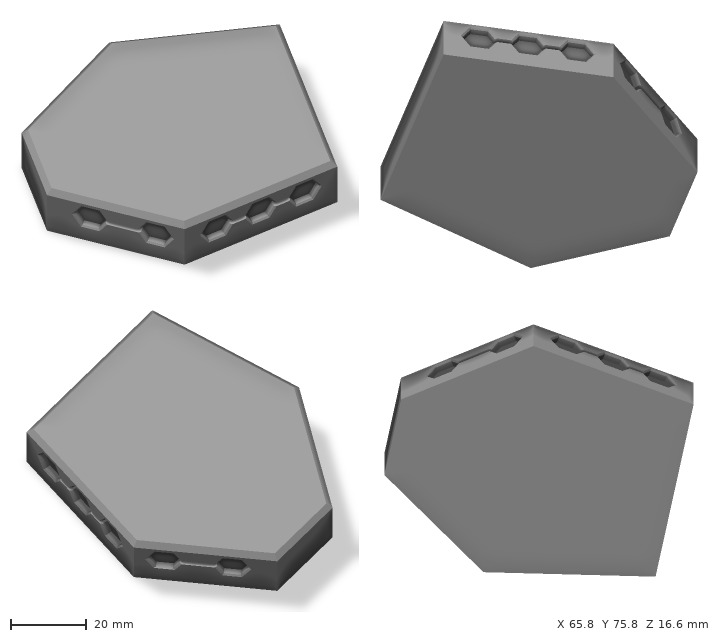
import cadquery as cq
import math

HEIGHT = 16.6
LENGTH = 75.84
MAX_WIDTH = 65.77
REAR_WIDTH = 50.1
FRONT_WIDTH = 22.0
WIDEST_TO_REAR = 44.7
TOP_BEVEL = 1.5

HEX_SIDES = 6
HEX_FLATS = 7.9
HEX_CHAMFER = 0.45
CHAMFER_ANGLE = 45
POCKET_DEPTH = 2.0
SLOT_HEIGHT = 1.6
POCKET_Z = 9.65
REAR_HEX_COUNT = 3
REAR_HEX_PITCH = 13.0
FRONT_HEX_COUNT = 2
FRONT_HEX_PITCH = 18.0
FRONT_PAIR_OFFSET = -1.95

REAR_CORNER = (-REAR_WIDTH / 2, LENGTH / 2)
WIDE_CORNER = (-MAX_WIDTH / 2, LENGTH / 2 - WIDEST_TO_REAR)
FRONT_CORNER = (-FRONT_WIDTH / 2, -LENGTH / 2)


def make_body():
    """Plate symmetric about X = 0, resting on Z = 0, with its top rim bevelled."""
    left = [REAR_CORNER, WIDE_CORNER, FRONT_CORNER]
    right = [(-x, y) for x, y in reversed(left)]
    plate = cq.Workplane("XY").polyline(left + right).close().extrude(HEIGHT)
    return plate.faces(">Z").chamfer(TOP_BEVEL)


def face_plane(start, end):
    """Plane on a -X side face: origin mid-face at pocket height, x from start to end, z outward."""
    run_x = end[0] - start[0]
    run_y = end[1] - start[1]
    origin = ((start[0] + end[0]) / 2, (start[1] + end[1]) / 2, POCKET_Z)
    return cq.Plane(origin=origin, xDir=(run_x, run_y, 0), normal=(run_y, -run_x, 0))


def hexagon(plane, center, flats):
    """Hexagon outline with points along the face and flats at top and bottom."""
    across_points = flats / math.cos(math.pi / HEX_SIDES)
    return cq.Workplane(plane).center(center, 0).polygon(HEX_SIDES, across_points)


def hex_pocket(plane, center, sharp_bottom):
    """Hexagonal pocket with a chamfered mouth; a sharp bottom leaves the lowest edge unchamfered."""
    mouth_flats = HEX_FLATS + 2 * HEX_CHAMFER
    straight = hexagon(plane, center, HEX_FLATS).extrude(-POCKET_DEPTH)
    flare = hexagon(plane, center, mouth_flats).extrude(-HEX_CHAMFER, taper=CHAMFER_ANGLE)
    if sharp_bottom:
        keep = cq.Workplane(plane).center(center, HEX_CHAMFER / 2)
        keep = keep.rect(2 * mouth_flats, HEX_FLATS + HEX_CHAMFER).extrude(-HEX_CHAMFER)
        flare = flare.intersect(keep)
    return straight.union(flare)


def pocket_row(plane, count, pitch, offset, sharp_first=False):
    """Evenly spaced hexagons and the slot that joins the first to the last."""
    span = (count - 1) * pitch
    row = cq.Workplane(plane).center(offset, 0).rect(span, SLOT_HEIGHT).extrude(-POCKET_DEPTH)
    for index in range(count):
        center = offset - span / 2 + index * pitch
        row = row.union(hex_pocket(plane, center, sharp_first and index == 0))
    return row


def mirrored(shape):
    """Copy of a -X side shape on the +X side."""
    return shape.mirror("YZ")


rear_side = face_plane(REAR_CORNER, WIDE_CORNER)
front_side = face_plane(WIDE_CORNER, FRONT_CORNER)

rear_row = pocket_row(rear_side, REAR_HEX_COUNT, REAR_HEX_PITCH, 0)
front_row = pocket_row(front_side, FRONT_HEX_COUNT, FRONT_HEX_PITCH, FRONT_PAIR_OFFSET)
sharp_front_row = pocket_row(front_side, FRONT_HEX_COUNT, FRONT_HEX_PITCH, FRONT_PAIR_OFFSET, True)

result = make_body()
for pocket in (rear_row, mirrored(rear_row), sharp_front_row, mirrored(front_row)):
    result = result.cut(pocket)